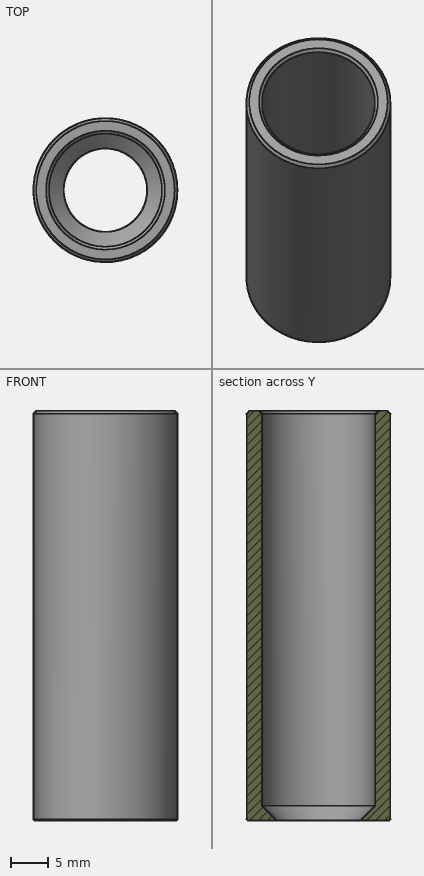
import cadquery as cq

length = 55.0
outer_diameter = 19.35
bore_diameter = 15.15
outlet_diameter = 11.15
top_chamfer = 0.4
bottom_chamfer = 0.2

taper_height = (bore_diameter - outlet_diameter) / 2


def make_bored_tube():
    """Outer cylinder with a straight bore stopping at the top of the taper."""
    body = cq.Workplane("XY").circle(outer_diameter / 2).extrude(length)
    bore = (
        cq.Workplane("XY", origin=(0, 0, taper_height))
        .circle(bore_diameter / 2)
        .extrude(length - taper_height)
    )
    return body.cut(bore)


def chamfer_rims(tube):
    """Break both rims of the open top and the outer rim of the bottom."""
    tube = tube.faces(">Z").edges().chamfer(top_chamfer)
    return tube.faces("<Z").edges().chamfer(bottom_chamfer)


def make_outlet_cone():
    """Conical passage from the outlet in the bottom face up to the bore."""
    return cq.Workplane(
        cq.Solid.makeCone(outlet_diameter / 2, bore_diameter / 2, taper_height)
    )


result = chamfer_rims(make_bored_tube()).cut(make_outlet_cone())